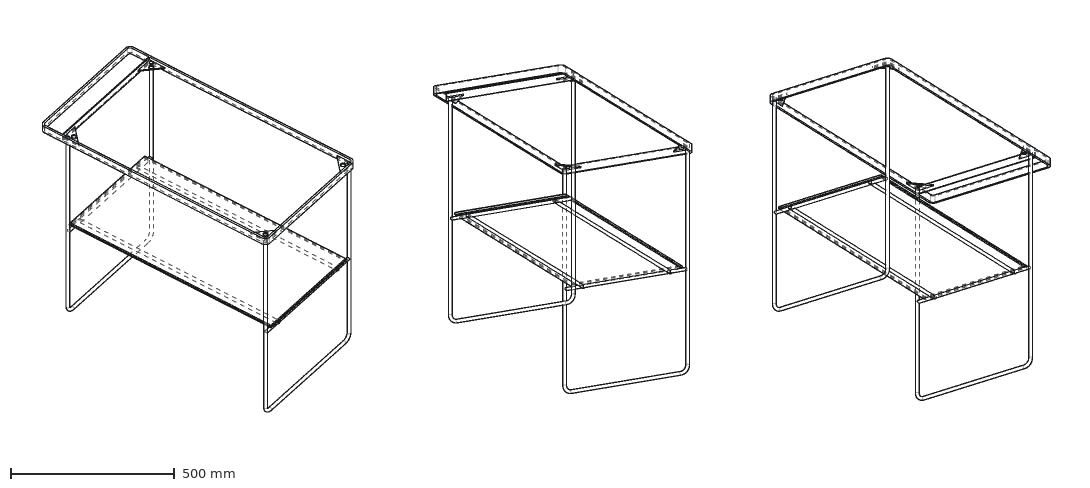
import cadquery as cq
import math

length = 865.0
width = 451.0
height = 740.0
bar_depth = 25.0
bar_thickness = 7.0
ring_corner_radius = 16.5
ring_bottom = height - bar_depth

cross_bar_left = 80.5
cross_bar_thickness = 3.5

gusset_thickness = 4.0
gusset_leg = 59.0
gusset_rise = 10.0
gusset_bottom = ring_bottom + gusset_rise
gusset_hole_diameter = 16.0
gusset_hole_offset_x = 11.0
gusset_hole_offset_y = 16.0

rod_diameter = 12.0
left_leg_x = 96.0
right_leg_x = 851.0
leg_inset_y = 14.0
leg_bend_radius = 23.0
leg_y = width / 2 - leg_inset_y
foot_z = rod_diameter / 2
leg_stub_height = 1.0
leg_top = gusset_bottom + gusset_thickness + leg_stub_height

shelf_left = 86.0
shelf_right = 857.0
shelf_width = 382.0
shelf_thickness = 10.0
shelf_edge_chamfer = 3.0
shelf_top = 355.0
shelf_bottom = shelf_top - shelf_thickness

rail_diameter = 10.0
rail_z = shelf_bottom - rail_diameter / 2
long_rail_y = 150.0


def make_ring():
    outer = (
        cq.Workplane("XY", origin=(length / 2, 0, ring_bottom))
        .rect(length, width)
        .extrude(bar_depth)
        .edges("|Z")
        .fillet(ring_corner_radius)
    )
    inner = (
        cq.Workplane("XY", origin=(length / 2, 0, ring_bottom))
        .rect(length - 2 * bar_thickness, width - 2 * bar_thickness)
        .extrude(bar_depth)
        .edges("|Z")
        .fillet(ring_corner_radius - bar_thickness)
    )
    return outer.cut(inner)


def make_cross_bar():
    bar_length = width - 2 * bar_thickness
    return (
        cq.Workplane("XY")
        .box(cross_bar_thickness, bar_length, bar_depth, centered=(False, True, False))
        .translate((cross_bar_left, 0, ring_bottom))
    )


def make_gusset(corner_x, leg_x, x_direction, y_direction):
    """Triangular plate filling the corner, with a hole set inward from the leg."""
    corner_y = -y_direction * (width / 2 - bar_thickness)
    hole_x = leg_x + x_direction * gusset_hole_offset_x
    hole_y = y_direction * (gusset_hole_offset_y - leg_y)
    plate = (
        cq.Workplane("XY", origin=(0, 0, gusset_bottom))
        .moveTo(corner_x, corner_y)
        .lineTo(corner_x + x_direction * gusset_leg, corner_y)
        .lineTo(corner_x, corner_y + y_direction * gusset_leg)
        .close()
        .extrude(gusset_thickness)
    )
    hole = (
        cq.Workplane("XY", origin=(hole_x, hole_y, gusset_bottom))
        .circle(gusset_hole_diameter / 2)
        .extrude(gusset_thickness)
    )
    return plate.cut(hole)


def make_leg(x):
    """U-shaped rod: down one side, across the floor and up the other side."""
    bend_y = leg_y - leg_bend_radius
    bend_z = foot_z + leg_bend_radius
    bend_middle = leg_bend_radius * math.sqrt(0.5)
    path = (
        cq.Workplane("YZ", origin=(x, 0, 0))
        .moveTo(-leg_y, leg_top)
        .lineTo(-leg_y, bend_z)
        .threePointArc((-bend_y - bend_middle, bend_z - bend_middle), (-bend_y, foot_z))
        .lineTo(bend_y, foot_z)
        .threePointArc((bend_y + bend_middle, bend_z - bend_middle), (leg_y, bend_z))
        .lineTo(leg_y, leg_top)
    )
    return (
        cq.Workplane("XY", origin=(x, -leg_y, leg_top))
        .circle(rod_diameter / 2)
        .sweep(path)
    )


def make_end_rail(x):
    return (
        cq.Workplane("XZ", origin=(x, leg_y, rail_z))
        .circle(rail_diameter / 2)
        .extrude(2 * leg_y)
    )


def make_long_rail(y):
    """Rail along X whose ends lie flush with the outer sides of the end rails."""
    rail_start = left_leg_x - rail_diameter / 2
    rail_end = right_leg_x + rail_diameter / 2
    return (
        cq.Workplane("YZ", origin=(rail_start, y, rail_z))
        .circle(rail_diameter / 2)
        .extrude(rail_end - rail_start)
    )


def make_frame():
    frame = make_ring().union(make_cross_bar())
    gusset_left = cross_bar_left + cross_bar_thickness
    gusset_right = length - bar_thickness
    for y_direction in (-1, 1):
        frame = frame.union(make_gusset(gusset_left, left_leg_x, 1, y_direction))
        frame = frame.union(make_gusset(gusset_right, right_leg_x, -1, y_direction))
    for x in (left_leg_x, right_leg_x):
        frame = frame.union(make_leg(x)).union(make_end_rail(x))
    for y in (-long_rail_y, long_rail_y):
        frame = frame.union(make_long_rail(y))
    return frame


def make_shelf():
    return (
        cq.Workplane("XY")
        .box(shelf_right - shelf_left, shelf_width, shelf_thickness, centered=(False, True, False))
        .faces(">Z or <Z")
        .edges()
        .chamfer(shelf_edge_chamfer)
        .translate((shelf_left, 0, shelf_bottom))
    )


frame = make_frame()
shelf = make_shelf()
result = cq.Compound.makeCompound([frame.val(), shelf.val()])